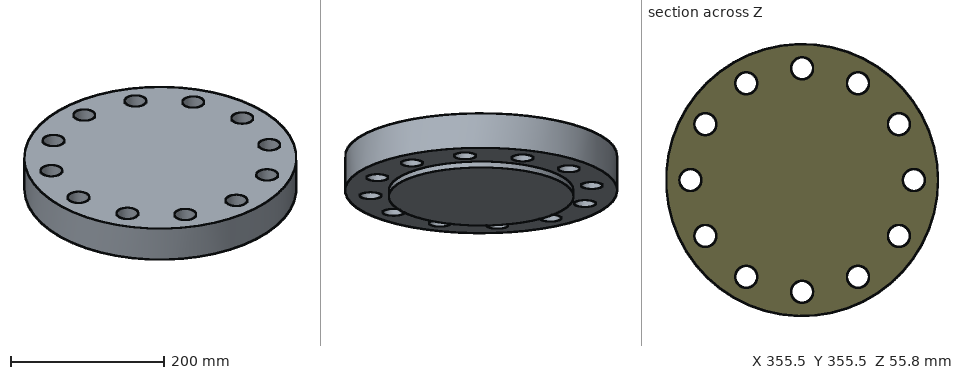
import cadquery as cq

flange_diameter = 355.5
total_height = 55.8
raised_face_height = 8.0
plate_thickness = total_height - raised_face_height

raised_face_diameter = 241.5

bolt_hole_count = 12
bolt_circle_diameter = 292.0
bolt_hole_diameter = 28.5


def make_blank():
    """Plate with the raised face below it; the lowest face lies on Z = 0."""
    raised_face = cq.Workplane("XY").circle(raised_face_diameter / 2).extrude(raised_face_height)
    plate = (
        cq.Workplane("XY")
        .workplane(offset=raised_face_height)
        .circle(flange_diameter / 2)
        .extrude(plate_thickness)
    )
    return raised_face.union(plate)


def make_bolt_holes():
    """Ring of straight cylinders that cut through the full height."""
    return (
        cq.Workplane("XY")
        .polarArray(bolt_circle_diameter / 2, 0, 360, bolt_hole_count)
        .circle(bolt_hole_diameter / 2)
        .extrude(total_height)
    )


result = make_blank().cut(make_bolt_holes())